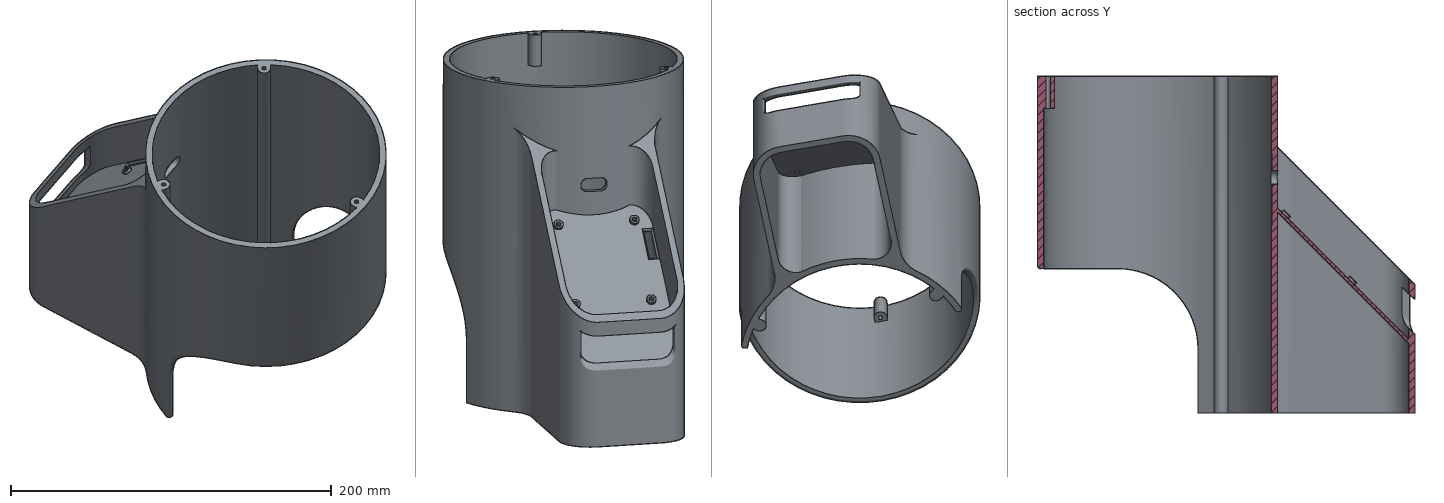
import math
import cadquery as cq

overall_length = 235.5
overall_height = 210.0
wall = 4.0
oversize = 470.8

tube_radius = 150.0 / 2
bore_radius = tube_radius - wall
tube_x = overall_length - tube_radius

box_half_width = 40.0
box_corner_radius = 20.0
blend_radius = 20.0
rim_front_z = 80.0
slope_angle = math.radians(45.0)
pocket_end_x = 89.2
pocket_half_width = 35.8
pocket_front_radius = box_corner_radius - wall
pocket_rear_radius = 11.3

floor_front_z = 42.1
floor_thickness = 2.0

elbow_x = 135.4
elbow_z = 90.0
elbow_radius = 50.0
elbow_edge_fillet = 2.0

post_radius = 4.0
post_hole_diameter = 2.5
post_circle_radius = 68.3
post_hole_depth = 20.0
short_post_height = post_hole_depth
side_post_angle = 125
posts = (
    (0, short_post_height),
    (side_post_angle, overall_height),
    (-side_post_angle, overall_height),
)

standoff_diameter = 6.0
standoff_hole_diameter = 3.0
standoff_height = 2.0
standoff_first = 56.3
standoff_pitch = 58.4
standoff_half_spacing = 24.5

floor_slots = (
    (58.0, 33.0, 1.6),
    (97.2, -32.0, 4.7),
)
floor_slot_length = 20.2
floor_slot_chamfer = 1.2
chamfer_angle = 45

window_half_width = 30.4
window_bottom_z = 49.0
window_top_z = 70.5
window_corner_radius = 5.0
window_edge_fillet = 0.5
window_sweep = 9.5

cable_slot_length = 17.0
cable_slot_height = 8.5
cable_slot_z = 147.0


def below_slope(front_z):
    """Solid lying under the sloped plane that has height front_z at x = 0."""
    rise = oversize * math.tan(slope_angle)
    return (
        cq.Workplane("XZ")
        .moveTo(0, -oversize)
        .lineTo(0, front_z)
        .lineTo(oversize, front_z + rise)
        .lineTo(oversize, -oversize)
        .close()
        .extrude(oversize, both=True)
    )


def floor_plane(distance=0.0, y=0.0, lift=0.0):
    """Workplane on the floor: local X runs up the slope, local Z along its normal."""
    up_slope = (math.cos(slope_angle), 0, math.sin(slope_angle))
    normal = (-math.sin(slope_angle), 0, math.cos(slope_angle))
    origin = (
        distance * up_slope[0] + lift * normal[0],
        y,
        floor_front_z + distance * up_slope[2] + lift * normal[2],
    )
    return cq.Workplane(cq.Plane(origin=origin, xDir=up_slope, normal=normal))


def make_tube():
    """Solid round column with the rounded elbow cut-out."""
    column = cq.Workplane("XY").center(tube_x, 0).circle(tube_radius).extrude(overall_height)
    bend = elbow_radius * (1 - math.sqrt(0.5))
    cutout = (
        cq.Workplane("XZ")
        .moveTo(elbow_x, -oversize)
        .lineTo(elbow_x, elbow_z - elbow_radius)
        .threePointArc((elbow_x + bend, elbow_z - bend), (elbow_x + elbow_radius, elbow_z))
        .lineTo(oversize, elbow_z)
        .lineTo(oversize, -oversize)
        .close()
        .extrude(oversize, both=True)
    )
    margin = 0.2
    elbow_region = cq.selectors.BoxSelector(
        (elbow_x - margin, -tube_radius, 0), (overall_length, tube_radius, elbow_z + margin)
    )
    outer_edges = elbow_region - cq.selectors.ParallelDirSelector(cq.Vector(0, 1, 0))
    return column.cut(cutout).edges(outer_edges).fillet(elbow_edge_fillet)


def make_box():
    """Solid box with rounded front corners and concave blends into the tube."""
    centre_y = box_half_width + blend_radius
    centre_distance = tube_radius + blend_radius
    blend_x = tube_x - math.sqrt(centre_distance**2 - centre_y**2)
    touch_angle = math.atan2(centre_y, blend_x - tube_x)
    touch_x = tube_x + tube_radius * math.cos(touch_angle)
    touch_y = tube_radius * math.sin(touch_angle)
    middle_angle = (touch_angle - math.pi - math.pi / 2) / 2
    middle_x = blend_x + blend_radius * math.cos(middle_angle)
    middle_y = centre_y + blend_radius * math.sin(middle_angle)
    outline = (
        cq.Workplane("XY")
        .moveTo(0, box_half_width)
        .lineTo(blend_x, box_half_width)
        .threePointArc((middle_x, middle_y), (touch_x, touch_y))
        .lineTo(tube_x - bore_radius / 2, 0)
        .lineTo(touch_x, -touch_y)
        .threePointArc((middle_x, -middle_y), (blend_x, -box_half_width))
        .lineTo(0, -box_half_width)
        .close()
        .extrude(overall_height)
    )
    return outline.edges("|Z and <X").fillet(box_corner_radius).intersect(below_slope(rim_front_z))


def make_pocket():
    """Space inside the box, above and below the sloped floor, reaching into the tube."""
    length = pocket_end_x - wall
    space = (
        cq.Workplane("XY")
        .center(wall + length / 2, 0)
        .rect(length, 2 * pocket_half_width)
        .extrude(overall_height)
        .edges("|Z and <X")
        .fillet(pocket_front_radius)
        .edges("|Z and >X")
        .fillet(pocket_rear_radius)
    )
    floor_drop = floor_thickness / math.cos(slope_angle)
    floor = below_slope(floor_front_z).cut(below_slope(floor_front_z - floor_drop))
    return space.cut(floor)


def make_window():
    """Opening in the front wall, swept up at the slope angle; only its lower corners are round."""
    height = window_top_z - window_bottom_z
    profile = (
        cq.Sketch()
        .rect(2 * window_half_width, height)
        .vertices("<Y")
        .fillet(window_corner_radius)
    )
    middle_z = (window_top_z + window_bottom_z) / 2
    rise = window_sweep * math.tan(slope_angle)
    start = cq.Plane(origin=(-window_sweep, 0, middle_z - rise), xDir=(0, 1, 0), normal=(1, 0, 0))
    path = cq.Workplane("XZ").moveTo(-window_sweep, middle_z - rise).lineTo(window_sweep, middle_z + rise)
    return cq.Workplane(start).placeSketch(profile).sweep(path)


def make_cable_slot():
    """Rounded slot through the tube wall above the floor."""
    return (
        cq.Workplane("YZ")
        .center(0, cable_slot_z)
        .slot2D(cable_slot_length, cable_slot_height)
        .extrude(tube_x)
    )


def make_post(angle, height):
    """Screw post hanging down from the tube mouth, joined to the wall by a straight web."""
    web_length = (bore_radius + tube_radius) / 2 - post_circle_radius
    top = cq.Workplane("XY", origin=(post_circle_radius, 0, overall_height))
    post = top.circle(post_radius).extrude(-height)
    web = top.center(web_length / 2, 0).rect(web_length, 2 * post_radius).extrude(-height)
    hole = top.circle(post_hole_diameter / 2).extrude(-post_hole_depth)
    return post.union(web).cut(hole).rotate((0, 0, 0), (0, 0, 1), angle).translate((tube_x, 0, 0))


def make_floor_slot(distance, y, width):
    """Rectangular opening through the floor with a chamfer around its upper edge."""
    opening = floor_plane(distance, y).rect(floor_slot_length, width).extrude(-floor_thickness)
    outer_length = floor_slot_length + 2 * floor_slot_chamfer
    outer_width = width + 2 * floor_slot_chamfer
    chamfer = floor_plane(distance, y).rect(outer_length, outer_width)
    return opening.union(chamfer.extrude(-floor_slot_chamfer, taper=chamfer_angle))


def round_window_rim(box):
    """Round the outer rim of the front window."""
    margin = 0.2
    deepest_x = box_corner_radius - math.sqrt(
        box_corner_radius**2 - (window_half_width - box_half_width + box_corner_radius) ** 2
    )
    rim = cq.selectors.BoxSelector(
        (-margin, -window_half_width - margin, window_bottom_z - margin),
        (deepest_x + margin, window_half_width + margin, window_top_z + deepest_x + margin),
    )
    return box.edges(rim).fillet(window_edge_fillet)


bore = cq.Workplane("XY").center(tube_x, 0).circle(bore_radius).extrude(overall_height)
box = round_window_rim(make_box().cut(make_pocket()).cut(make_window()))
result = make_tube().union(box).cut(bore).cut(make_cable_slot())

for post_angle, post_height in posts:
    result = result.union(make_post(post_angle, post_height))

for distance in (standoff_first, standoff_first + standoff_pitch):
    for y in (-standoff_half_spacing, standoff_half_spacing):
        standoff = floor_plane(distance, y).circle(standoff_diameter / 2).extrude(standoff_height)
        hole = floor_plane(distance, y, standoff_height).circle(standoff_hole_diameter / 2)
        result = result.union(standoff).cut(hole.extrude(-standoff_height - floor_thickness))

for slot in floor_slots:
    result = result.cut(make_floor_slot(*slot))